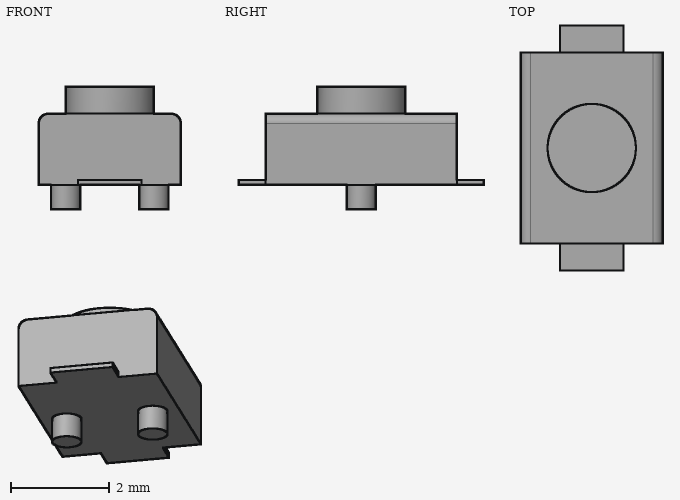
import cadquery as cq

body_width = 2.9
body_length = 3.9
body_height = 1.45
edge_radius = 0.2

button_diameter = 1.8
button_height = 0.55

terminal_span = 5
terminal_width = 1.3
terminal_thickness = 0.1

peg_diameter = 0.6
peg_height = 0.5
peg_spacing = 1.8


def make_body():
    """Box with its two long top edges rounded."""
    box = cq.Workplane("XY").box(body_width, body_length, body_height, centered=(True, True, False))
    return box.faces(">Z").edges("|Y").fillet(edge_radius)


def make_button():
    return cq.Workplane("XY").workplane(offset=body_height).circle(button_diameter / 2).extrude(button_height)


def make_terminals():
    """One strip through the housing forms both terminals."""
    return cq.Workplane("XY").box(
        terminal_width, terminal_span, terminal_thickness, centered=(True, True, False)
    )


def make_pegs():
    peg_centers = [(-peg_spacing / 2, 0), (peg_spacing / 2, 0)]
    return cq.Workplane("XY").pushPoints(peg_centers).circle(peg_diameter / 2).extrude(-peg_height)


result = make_body().union(make_button()).union(make_terminals()).union(make_pegs())